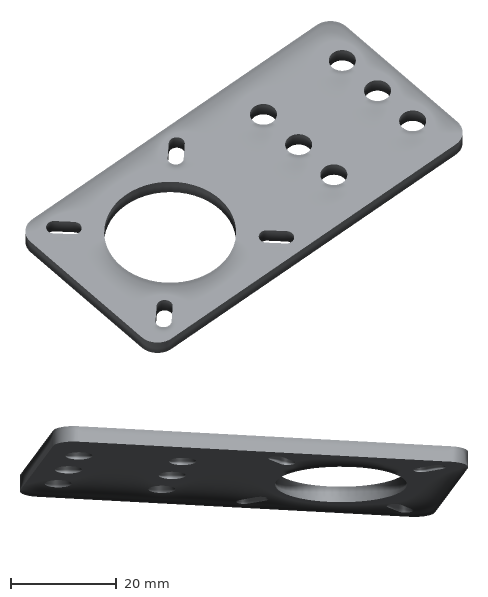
import cadquery as cq

width = 39.5
length = 80.0
thickness = 3.0
corner_radius = 4.0

mount_diameter = 5.1
mount_pitch = 10.0
mount_row_spacing = 20.0
mount_edge_distance = 6.2

bore_diameter = 25.0
bore_edge_distance = 21.3
slot_width = 3.0
slot_length = 6.7
slot_offset = 14.2
slot_angle = 45

upper_row_y = length / 2 - mount_edge_distance
lower_row_y = upper_row_y - mount_row_spacing
bore_y = -length / 2 + bore_edge_distance


def make_plate():
    """Flat plate with rounded corners, centred in X and Y and resting on Z = 0."""
    plate = cq.Workplane("XY").rect(width, length).extrude(thickness)
    return plate.edges("|Z").fillet(corner_radius)


def cut_mount_holes(body):
    centres = [
        (column * mount_pitch, row_y)
        for row_y in (upper_row_y, lower_row_y)
        for column in (-1, 0, 1)
    ]
    return body.faces(">Z").workplane(origin=(0, 0, 0)).pushPoints(centres).hole(mount_diameter)


def cut_bore(body):
    return body.faces(">Z").workplane(origin=(0, bore_y, 0)).hole(bore_diameter)


def cut_slots(body):
    """Cut four through slots, each pointing along a diagonal through the bore axis."""
    for side_x in (-1, 1):
        for side_y in (-1, 1):
            slot = (
                cq.Workplane("XY")
                .center(side_x * slot_offset, bore_y + side_y * slot_offset)
                .slot2D(slot_length, slot_width, slot_angle * side_x * side_y)
                .extrude(thickness)
            )
            body = body.cut(slot)
    return body


result = cut_slots(cut_bore(cut_mount_holes(make_plate())))